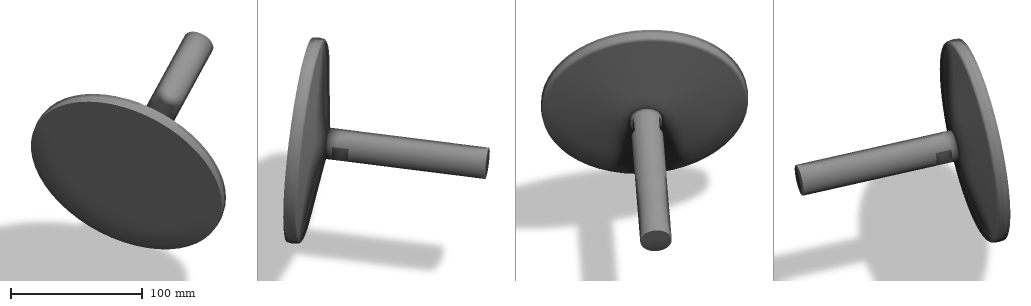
import cadquery as cq
import math

pad_radius = 79.0
total_length = 144.0

rim_taper = 0.5
rim_widest_y = 4.3
rim_back_y = 7.5
shoulder_radius = 2.5
cone_angle = math.radians(9.7)

stem_radius = 24.0 / 2
stem_bevel = 0.6
neck_radius = stem_radius - stem_bevel

across_flats = 19.0
flat_start_y = 26.2
flat_length = 12.5

rim_radius = pad_radius - rim_taper
shoulder_center_r = rim_radius - shoulder_radius


def shoulder_point(angle):
    """Point on the shoulder arc, with the angle measured from the radial direction."""
    return (
        shoulder_center_r + shoulder_radius * math.cos(angle),
        rim_back_y + shoulder_radius * math.sin(angle),
    )


cone_tangent_angle = math.pi / 2 - cone_angle
cone_edge_r, cone_edge_y = shoulder_point(cone_tangent_angle)
cone_top_y = cone_edge_y + (cone_edge_r - neck_radius) * math.tan(cone_angle)

body = (
    cq.Workplane("XY")
    .lineTo(rim_radius, 0)
    .lineTo(pad_radius, rim_widest_y)
    .lineTo(rim_radius, rim_back_y)
    .threePointArc(shoulder_point(cone_tangent_angle / 2), (cone_edge_r, cone_edge_y))
    .lineTo(neck_radius, cone_top_y)
    .lineTo(stem_radius, cone_top_y + stem_bevel)
    .lineTo(stem_radius, total_length)
    .lineTo(0, total_length)
    .close()
    .revolve(360, (0, 0, 0), (0, 1, 0))
)


def flat_cutter(side):
    """Block that cuts one wrench flat on the -X (side -1) or +X (side 1) side."""
    block_width = stem_radius
    return cq.Workplane("XY").box(block_width, flat_length, 2 * stem_radius).translate(
        (side * (across_flats + block_width) / 2, flat_start_y + flat_length / 2, 0)
    )


result = body
for side in (-1, 1):
    result = result.cut(flat_cutter(side))